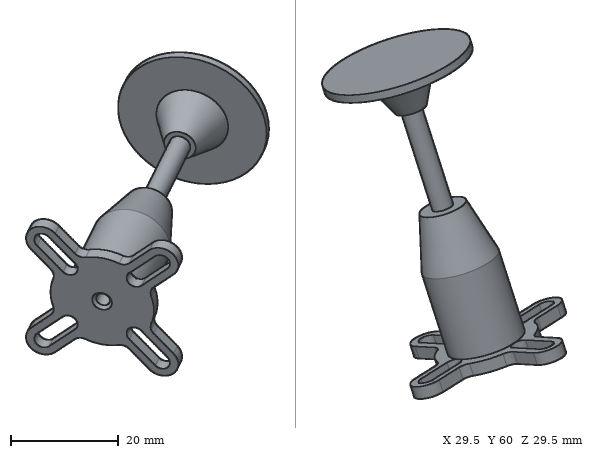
import cadquery as cq
import math

TOTAL_LENGTH = 60.0

PLATE_THICKNESS = 2.5
PLATE_RADIUS = 10.0
ARM_RADIUS = 3.3
ARM_TIP_OFFSET = 11.45
SLOT_RADIUS = 1.7
SLOT_INNER_OFFSET = 6.4
ARM_ROOT_FILLET = 2.0
ARM_ANGLES = (45, 135, 225, 315)

BODY_RADIUS = 7.5
BODY_STRAIGHT_END = 19.1
BODY_END = 30.25
BODY_END_RADIUS = 4.55

ROD_RADIUS = 2.05
FLANGE_RADIUS = 14.4
FLANGE_THICKNESS = 1.6
NECK_START = 50.4
NECK_START_RADIUS = 3.05
NECK_END_RADIUS = 6.95

HOLE_RADIUS = 1.3
HOLE_MOUTH_RADIUS = 1.9
HOLE_DEPTH = 9.0
DRILL_POINT_HALF_ANGLE = math.radians(59)


def revolve_profile(points):
    """Turn a closed (radius, Y) outline about the Y axis."""
    return cq.Workplane("XY").polyline(points).close().revolve(360, (0, 0), (0, 1))


def diagonal_slot(inner_distance, outer_distance, radius, angle):
    """Plate-thick rounded bar between two distances along a radial direction."""
    middle = (inner_distance + outer_distance) / 2
    length = outer_distance - inner_distance + 2 * radius
    bar = cq.Workplane("XZ").center(middle, 0).slot2D(length, 2 * radius).extrude(-PLATE_THICKNESS)
    return bar.rotate((0, 0, 0), (0, 1, 0), angle)


def make_plate():
    tip_distance = ARM_TIP_OFFSET * math.sqrt(2)
    slot_inner_distance = SLOT_INNER_OFFSET * math.sqrt(2)
    plate = cq.Workplane("XZ").circle(PLATE_RADIUS).extrude(-PLATE_THICKNESS)
    for angle in ARM_ANGLES:
        plate = plate.union(diagonal_slot(0, tip_distance, ARM_RADIUS, angle))

    root_distance = PLATE_RADIUS + ARM_RADIUS / 2
    root_zone = cq.selectors.BoxSelector(
        (-root_distance, 0, -root_distance), (root_distance, PLATE_THICKNESS, root_distance)
    )
    plate = plate.edges("|Y").edges(root_zone).fillet(ARM_ROOT_FILLET)

    for angle in ARM_ANGLES:
        plate = plate.cut(diagonal_slot(slot_inner_distance, tip_distance, SLOT_RADIUS, angle))
    return plate


def make_stem():
    flange_start = TOTAL_LENGTH - FLANGE_THICKNESS
    return revolve_profile([
        (0, PLATE_THICKNESS),
        (BODY_RADIUS, PLATE_THICKNESS),
        (BODY_RADIUS, BODY_STRAIGHT_END),
        (BODY_END_RADIUS, BODY_END),
        (ROD_RADIUS, BODY_END),
        (ROD_RADIUS, NECK_START),
        (NECK_START_RADIUS, NECK_START),
        (NECK_END_RADIUS, flange_start),
        (FLANGE_RADIUS, flange_start),
        (FLANGE_RADIUS, TOTAL_LENGTH),
        (0, TOTAL_LENGTH),
    ])


def make_screw_hole():
    mouth_depth = HOLE_MOUTH_RADIUS - HOLE_RADIUS
    point_depth = HOLE_RADIUS / math.tan(DRILL_POINT_HALF_ANGLE)
    return revolve_profile([
        (0, 0),
        (HOLE_MOUTH_RADIUS, 0),
        (HOLE_RADIUS, mouth_depth),
        (HOLE_RADIUS, HOLE_DEPTH),
        (0, HOLE_DEPTH + point_depth),
    ])


result = make_plate().union(make_stem()).cut(make_screw_hole())